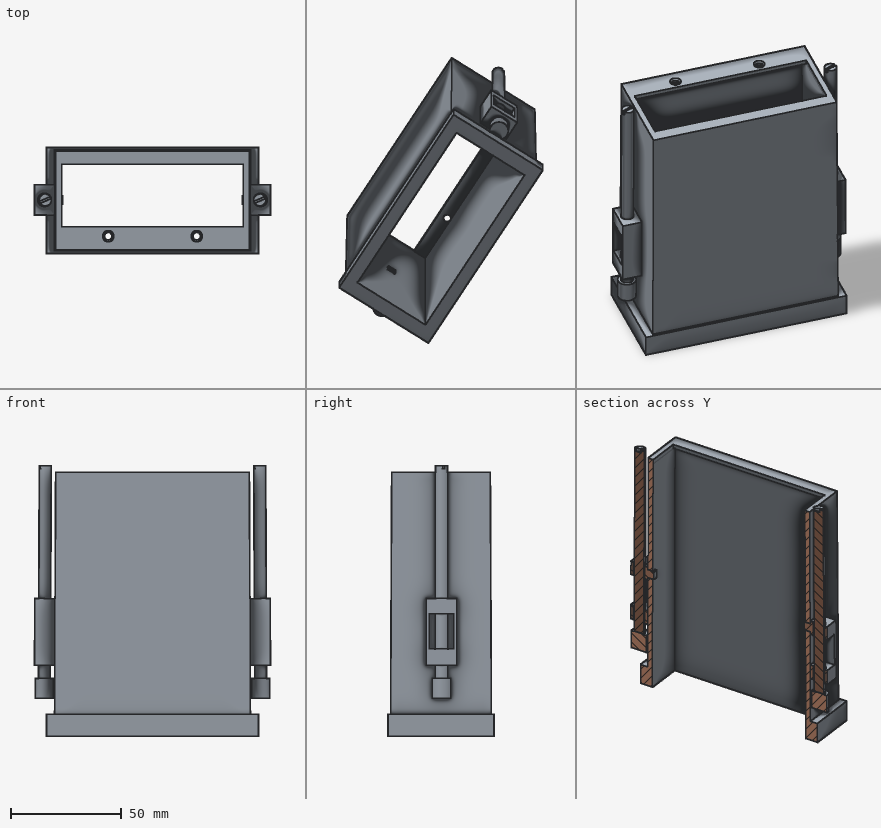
import cadquery as cq
import math

FLANGE_X = 96.0
FLANGE_Y = 48.0
FLANGE_HEIGHT = 10.0
HOUSING_X = 88.6
HOUSING_Y = 45.7
HOUSING_TOP = 119.5
DRAFT_ANGLE = 0.25

LIP_THICKNESS = 2.0
OPENING_X = 82.0
OPENING_Y = 28.2
OPENING_CENTER_Y = 2.2
CAVITY_TOP_Y = 35.5

LIP_HOLE_SPACING = 40.0
LIP_HOLE_Y = -16.2
LIP_HOLE_DIAMETER = 3.4
LIP_SINK_DIAMETER = 5.0
LIP_SINK_ANGLE = 90.0

CLAMP_Y = 0.2
BRACKET_DEPTH = 9.2
BRACKET_WIDTH = 13.8
BRACKET_BOTTOM = 32.1
BRACKET_TOP = 62.3
WINDOW_WIDTH = 11.1
WINDOW_BOTTOM = 39.5
WINDOW_TOP = 55.3
TONGUE_LENGTH = 3.5
TONGUE_SIZE = 3.9

ROD_OFFSET = 4.7
ROD_DIAMETER = 5.5
ROD_HOLE_DIAMETER = 6.0
LEANING_ROD_TOP = 122.4
SLOT_WIDTH = 1.0
SLOT_DEPTH = 1.5
SLOT_ANGLE = 23.0

CAP_DIAMETER = 8.3
CAP_BOTTOM = 17.1
CAP_TOP = 26.2

WALL_X = HOUSING_X / 2

ROD_TOP = LEANING_ROD_TOP - (ROD_OFFSET + ROD_DIAMETER / 2) * math.sin(math.radians(DRAFT_ANGLE))

SIDES = (-1, 1)


def block(size_x, size_y, bottom, top, center_x=0.0, center_y=0.0):
    """Upright box between two heights."""
    return (
        cq.Workplane("XY", origin=(center_x, center_y, bottom))
        .rect(size_x, size_y)
        .extrude(top - bottom)
    )


def cylinder(diameter, bottom, top, center_x, center_y):
    """Upright cylinder between two heights."""
    return (
        cq.Workplane("XY", origin=(center_x, center_y, bottom))
        .circle(diameter / 2)
        .extrude(top - bottom)
    )


def lean(body, side):
    """Tilt a body built beside a vertical end wall so that it follows the draft."""
    pivot = cq.Vector(side * WALL_X, 0, FLANGE_HEIGHT)
    return body.rotate(pivot, pivot + cq.Vector(0, 1.2, 0), -side * DRAFT_ANGLE)


def make_tongue(side):
    """Tongue that reaches from the bracket, above its window, through the housing wall."""
    middle = (WINDOW_TOP + BRACKET_TOP) / 2
    tongue = block(
        TONGUE_LENGTH,
        TONGUE_SIZE,
        middle - TONGUE_SIZE / 2,
        middle + TONGUE_SIZE / 2,
        side * (WALL_X - TONGUE_LENGTH / 2),
        CLAMP_Y,
    )
    return lean(tongue, side)


def make_cavity():
    """Drafted cavity, flush with the opening in X where it meets the lip."""
    height = HOUSING_TOP - LIP_THICKNESS
    growth = 2 * height * math.tan(math.radians(DRAFT_ANGLE))
    return (
        cq.Workplane("XY")
        .rect(OPENING_X + growth, CAVITY_TOP_Y + growth)
        .extrude(height, taper=DRAFT_ANGLE)
    )


def make_housing():
    """Flange and drafted shell, hollow, with a lip around the top opening."""
    flange = block(FLANGE_X, FLANGE_Y, 0, FLANGE_HEIGHT)
    shell = (
        cq.Workplane("XY", origin=(0, 0, FLANGE_HEIGHT))
        .rect(HOUSING_X, HOUSING_Y)
        .extrude(HOUSING_TOP - FLANGE_HEIGHT, taper=DRAFT_ANGLE)
    )
    opening = block(
        OPENING_X, OPENING_Y, HOUSING_TOP - LIP_THICKNESS, HOUSING_TOP, center_y=OPENING_CENTER_Y
    )
    housing = flange.union(shell).cut(make_cavity()).cut(opening)
    housing = (
        cq.Workplane("XY", origin=(0, LIP_HOLE_Y, HOUSING_TOP))
        .add(housing)
        .pushPoints([(side * LIP_HOLE_SPACING / 2, 0) for side in SIDES])
        .cskHole(LIP_HOLE_DIAMETER, LIP_SINK_DIAMETER, LIP_SINK_ANGLE, depth=LIP_THICKNESS)
    )
    for side in SIDES:
        housing = housing.cut(make_tongue(side))
    return housing


def make_bracket(side):
    """Bracket on the end wall, with a window, a rod hole and a tongue."""
    center_x = side * (WALL_X + BRACKET_DEPTH / 2)
    bracket = block(BRACKET_DEPTH, BRACKET_WIDTH, BRACKET_BOTTOM, BRACKET_TOP, center_x, CLAMP_Y)
    window = block(BRACKET_DEPTH, WINDOW_WIDTH, WINDOW_BOTTOM, WINDOW_TOP, center_x, CLAMP_Y)
    rod_hole = cylinder(
        ROD_HOLE_DIAMETER, BRACKET_BOTTOM, BRACKET_TOP, side * (WALL_X + ROD_OFFSET), CLAMP_Y
    )
    return lean(bracket.cut(window).cut(rod_hole), side).union(make_tongue(side))


def make_rod(side):
    """Clamp rod with a screwdriver slot in its top end."""
    center_x = side * (WALL_X + ROD_OFFSET)
    rod = cylinder(ROD_DIAMETER, CAP_TOP, ROD_TOP, center_x, CLAMP_Y)
    slot = block(2 * ROD_DIAMETER, SLOT_WIDTH, ROD_TOP - SLOT_DEPTH, ROD_TOP)
    slot = slot.rotate((0, 0, 0), (0, 0, 1), SLOT_ANGLE).translate((center_x, CLAMP_Y, 0))
    return lean(rod.cut(slot), side)


def make_cap(side):
    """Cap on the lower end of the rod."""
    cap = cylinder(CAP_DIAMETER, CAP_BOTTOM, CAP_TOP, side * (WALL_X + ROD_OFFSET), CLAMP_Y)
    return lean(cap, side)


bodies = [make_housing().val()]
for clamp_side in SIDES:
    bodies.append(make_bracket(clamp_side).val())
    bodies.append(make_rod(clamp_side).val())
    bodies.append(make_cap(clamp_side).val())

result = cq.Compound.makeCompound(bodies)